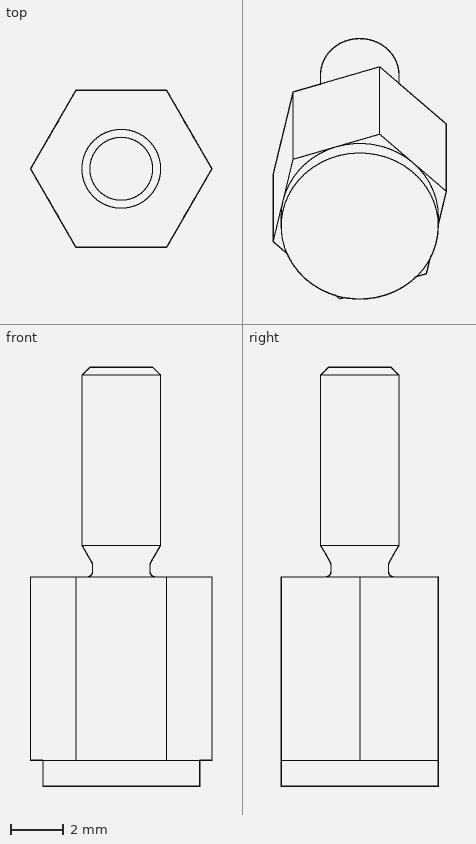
import cadquery as cq
import math

total_height = 16
hex_across_flats = 6.0
collar_height = 1.0
hex_top = 8

stud_diameter = 3.0
stud_tip_diameter = 2.4
neck_diameter = 2.2
relief_height = 1.2
root_radius = 0.2
relief_angle = math.radians(30)


def make_body():
    """Hexagonal body standing on a round collar as wide as its flats."""
    collar = cq.Workplane("XY").circle(hex_across_flats / 2).extrude(collar_height)
    across_corners = hex_across_flats / math.cos(math.radians(30))
    hexagon = (
        cq.Workplane("XY")
        .workplane(offset=collar_height)
        .polygon(6, across_corners)
        .extrude(hex_top - collar_height)
    )
    return collar.union(hexagon)


def make_stud():
    """Revolved stud with a chamfered tip and a filleted relief groove."""
    stud_radius = stud_diameter / 2
    tip_radius = stud_tip_diameter / 2
    neck_radius = neck_diameter / 2
    tip_chamfer = stud_radius - tip_radius
    relief_top = hex_top + relief_height

    fillet_center_radius = neck_radius + root_radius
    cone_end_radius = fillet_center_radius - root_radius * math.cos(relief_angle)
    cone_height = (stud_radius - cone_end_radius) / math.tan(relief_angle)
    cone_bottom = relief_top - cone_height
    neck_top = cone_bottom - root_radius * math.sin(relief_angle)
    half_angle = relief_angle / 2
    upper_fillet_middle = (
        fillet_center_radius - root_radius * math.cos(half_angle),
        neck_top + root_radius * math.sin(half_angle),
    )

    neck_bottom = hex_top + root_radius
    quarter_middle = root_radius * math.sqrt(0.5)
    lower_fillet_middle = (
        fillet_center_radius - quarter_middle,
        neck_bottom - quarter_middle,
    )

    profile = (
        cq.Workplane("XZ")
        .moveTo(0, collar_height)
        .lineTo(neck_radius + root_radius, collar_height)
        .lineTo(neck_radius + root_radius, hex_top)
        .threePointArc(lower_fillet_middle, (neck_radius, neck_bottom))
        .lineTo(neck_radius, neck_top)
        .threePointArc(upper_fillet_middle, (cone_end_radius, cone_bottom))
        .lineTo(stud_radius, relief_top)
        .lineTo(stud_radius, total_height - tip_chamfer)
        .lineTo(tip_radius, total_height)
        .lineTo(0, total_height)
        .close()
    )
    return profile.revolve(360, (0, 0, 0), (0, 1, 0))


result = make_body().union(make_stud())